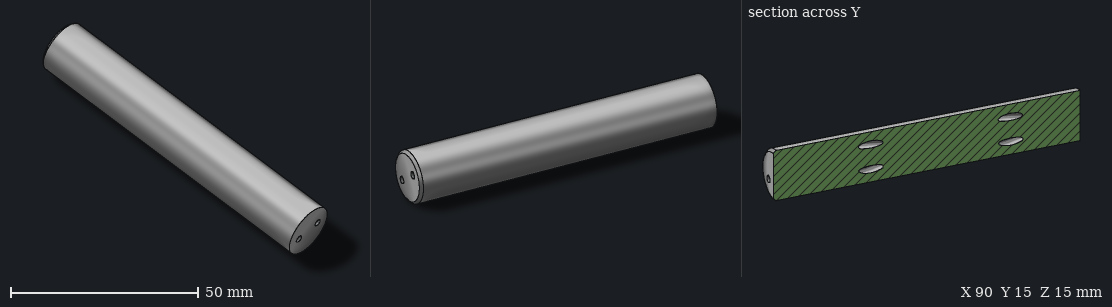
import cadquery as cq

length = 90.0
diameter = 15.0
end_chamfer = 0.8

hole_diameter = 2.0
hole_offset_y = 3.0
hole_offset_z = 2.2
twist_pitch = 81.9

end_plane = cq.Workplane("YZ", origin=(-length / 2, 0, 0))


def make_body():
    """Plain cylinder with its -X rim chamfered."""
    body = end_plane.circle(diameter / 2).extrude(length)
    return body.faces("<X").edges().chamfer(end_chamfer)


def make_twisted_holes():
    """Both cutters, twisted together about the rod axis."""
    centres = [(hole_offset_y, -hole_offset_z), (-hole_offset_y, hole_offset_z)]
    twist_angle = 360 * length / twist_pitch
    return end_plane.pushPoints(centres).circle(hole_diameter / 2).twistExtrude(length, twist_angle)


result = make_body().cut(make_twisted_holes())